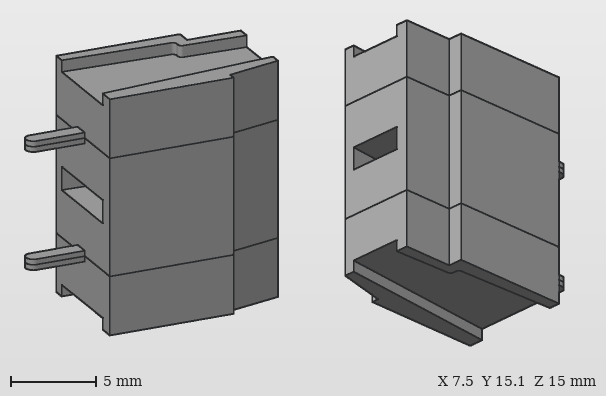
import cadquery as cq
import math


block_width = 7.5
block_height = 15.0
total_length = 15.1
pin_length = 3.6
block_depth = total_length - pin_length
pole_count = 2
pole_pitch = block_height / pole_count
half_pole = pole_pitch / 2

step_depth = 8.03
left_step = 1.0
right_step = 0.5
right_back_inset = 1.3

recess_height = 0.74
recess_left = 0.79
recess_right = 6.5
left_draft = math.tan(math.radians(2))
right_draft = math.tan(math.radians(5))
jog_depth = 7.22
jog_width = 0.66
jog_radius = 0.24

pin_left = 3.0
pin_width = 1.0
pin_thickness = 0.7
half_pin = pin_thickness / 2
tip_radius = pin_width / 2


def block_half():
    """Half of one pole's block: the outline raised from Z = 0 to half a pitch."""
    return (
        cq.Workplane("XY")
        .moveTo(0, 0)
        .lineTo(block_width, 0)
        .lineTo(block_width, step_depth)
        .lineTo(block_width - right_step, step_depth)
        .lineTo(block_width - right_back_inset, block_depth)
        .lineTo(left_step, block_depth)
        .lineTo(left_step, step_depth)
        .lineTo(0, step_depth)
        .close()
        .extrude(half_pole)
    )


def recess():
    """Tapered channel with a rounded jog in its left wall, sunk from the top of a half pole."""
    jog_left = recess_left + jog_depth * left_draft
    jog_right = jog_left + jog_width
    back_left = jog_right + (block_depth - jog_depth) * left_draft
    back_right = recess_right - block_depth * right_draft
    channel = (
        cq.Workplane("XY")
        .workplane(offset=half_pole - recess_height)
        .moveTo(recess_left, 0)
        .lineTo(recess_right, 0)
        .lineTo(back_right, block_depth)
        .lineTo(back_left, block_depth)
        .lineTo(jog_right, jog_depth)
        .lineTo(jog_left, jog_depth)
        .close()
        .extrude(recess_height)
    )
    jog_middle = (jog_left + jog_right) / 2
    jog_edges = cq.selectors.BoxSelector(
        (jog_middle - jog_width, jog_depth - jog_width, 0),
        (jog_middle + jog_width, jog_depth + jog_width, block_height),
    )
    return channel.edges("|Z").edges(jog_edges).fillet(jog_radius)


def pin_half():
    """Half the thickness of a round-tipped pin, standing out of the front face."""
    round_start = tip_radius - pin_length
    return (
        cq.Workplane("XY")
        .moveTo(pin_left, 0)
        .lineTo(pin_left, round_start)
        .threePointArc((pin_left + tip_radius, -pin_length), (pin_left + pin_width, round_start))
        .lineTo(pin_left + pin_width, 0)
        .close()
        .extrude(half_pin)
    )


def half_section():
    """Half a pole with its recess and half pin; the pin mid-plane is at Z = 0."""
    return block_half().cut(recess()).union(pin_half())


def end_section(side):
    """Outer half of an end pole: side 1 is the upper end, side -1 the lower end."""
    section = half_section()
    if side < 0:
        section = section.mirror("XY")
    return section.translate((0, 0, side * half_pole))


def middle_section():
    """Inner halves of both poles, joined around the window between them."""
    lower = half_section().translate((0, 0, -half_pole))
    return lower.union(lower.mirror("XY")).clean()


end_sections = [end_section(side) for side in (-1, 1)]
middle = middle_section()

result = cq.Compound.makeCompound([middle.val(), *[section.val() for section in end_sections]])